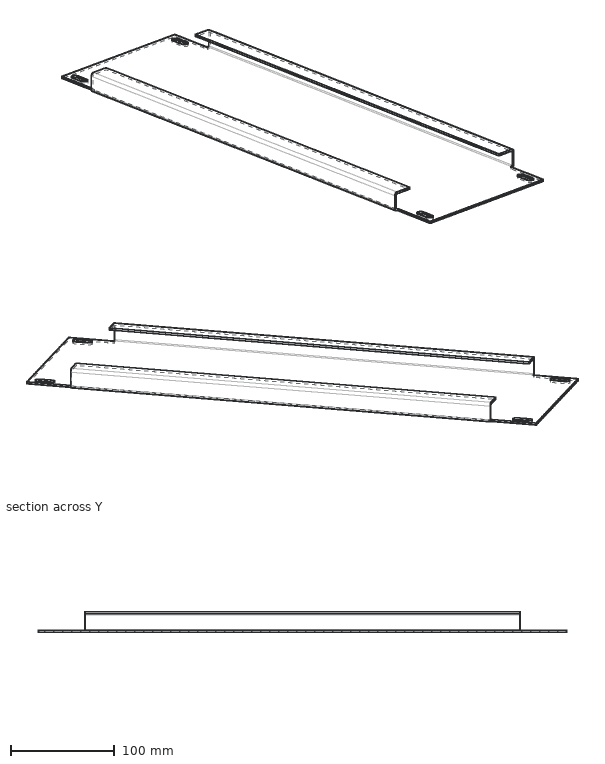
import cadquery as cq

plate_length = 510.0
overall_width = 160.0
overall_height = 20.0

sheet = 2.0
bend_radius = 3.0
edge_setback = 4.0
plate_width = overall_width - 2 * edge_setback

flange_length = 420.0
lip_width = 20.0

slot_length = 19.5
slot_width = 7.0
slot_spacing_x = 478.5
slot_spacing_y = 135.0


def make_plate():
    """Flat plate with a mounting slot near each corner."""
    plate = cq.Workplane("XY").box(plate_length, plate_width, sheet, centered=(True, True, False))
    slots = (
        cq.Workplane("XY")
        .rect(slot_spacing_x, slot_spacing_y, forConstruction=True)
        .vertices()
        .slot2D(slot_length, slot_width)
        .extrude(sheet)
    )
    return plate.cut(slots)


def make_channel():
    """Rounded tube hollowed out and opened at the top, leaving the floor, walls and lips."""
    inner_width = overall_width - 2 * sheet
    inner_height = overall_height - 2 * sheet
    opening_width = overall_width - 2 * lip_width
    outer = (
        cq.Workplane("XY")
        .box(flange_length, overall_width, overall_height, centered=(True, True, False))
        .edges("|X")
        .fillet(bend_radius)
    )
    inner = (
        cq.Workplane("XY", origin=(0, 0, sheet))
        .box(flange_length, inner_width, inner_height, centered=(True, True, False))
        .edges("|X")
        .fillet(bend_radius - sheet)
    )
    opening = cq.Workplane("XY", origin=(0, 0, sheet)).box(
        flange_length, opening_width, overall_height, centered=(True, True, False)
    )
    return outer.cut(inner).cut(opening)


result = make_plate().union(make_channel())